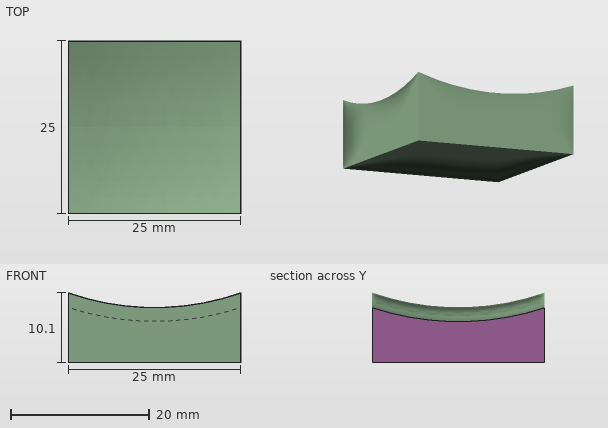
import cadquery as cq
import math

side = 25.0
corner_height = 10.12
edge_sag = 2.12

half_side = side / 2
edge_arc_radius = (half_side**2 + edge_sag**2) / (2 * edge_sag)
sphere_radius = math.hypot(edge_arc_radius, half_side)
sphere_center_height = corner_height - edge_sag + edge_arc_radius


def dish_sphere():
    """Ball made of two halves that meet in the plane Y = 0, centred above the block."""
    diagonal = sphere_radius * math.sqrt(0.5)
    half_disc = (
        cq.Workplane("XY")
        .moveTo(0, -sphere_radius)
        .threePointArc((diagonal, -diagonal), (sphere_radius, 0))
        .threePointArc((diagonal, diagonal), (0, sphere_radius))
        .close()
    )
    ball = half_disc.revolve(360, (0, 0), (0, 1), clean=False)
    return ball.translate((0, 0, sphere_center_height))


block = cq.Workplane("XY").box(side, side, corner_height, centered=(True, True, False))
result = block.cut(dish_sphere(), clean=False)